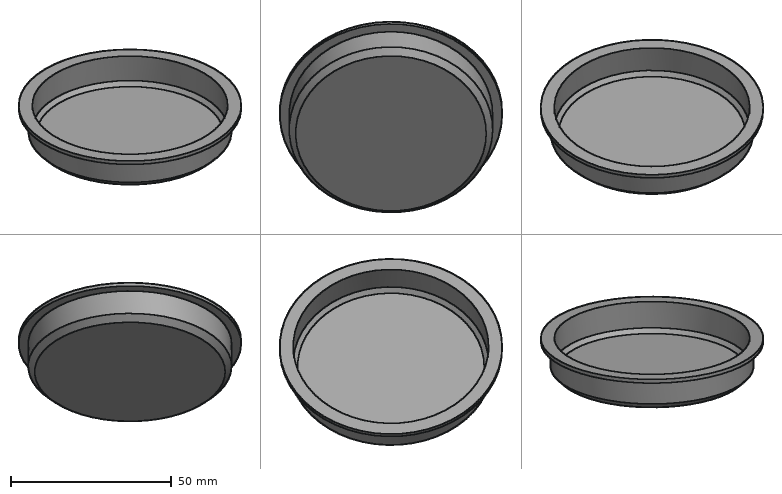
import cadquery as cq

flange_diameter = 69.5
body_diameter = 63.5
wall = 1.25
flange_thickness = 1.25
height = 11.5
outer_chamfer = 2.0
inner_chamfer = 1.4

cavity_diameter = body_diameter - 2 * wall
cavity_depth = height - wall


def make_cup_body():
    """Solid round body with a chamfered bottom edge."""
    body = cq.Workplane("XY").circle(body_diameter / 2).extrude(height)
    return body.faces("<Z").edges().chamfer(outer_chamfer)


def make_flange():
    """Thin rim disc, flush with the top of the body."""
    flange_base = cq.Workplane("XY").workplane(offset=height - flange_thickness)
    return flange_base.circle(flange_diameter / 2).extrude(flange_thickness)


def make_cavity():
    """Round recess above the floor, tapering in at its bottom edge."""
    floor = cq.Workplane("XY").workplane(offset=wall)
    cavity = floor.circle(cavity_diameter / 2).extrude(cavity_depth)
    return cavity.faces("<Z").edges().chamfer(inner_chamfer)


result = make_cup_body().union(make_flange()).cut(make_cavity())